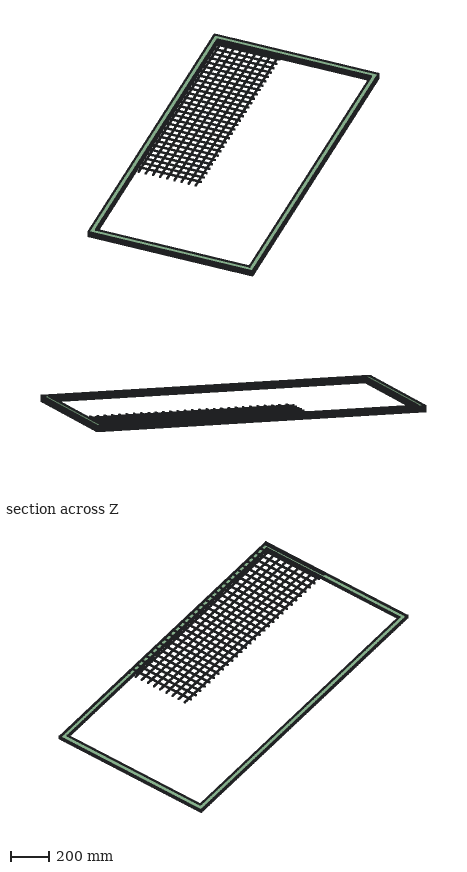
import cadquery as cq

frame_width = 920.0
frame_length = 1806.0
frame_height = 30.0

layer_count = 3
layer_height = frame_height / layer_count
side_member_width = 30.0
end_member_width = 33.0
tube_wall = 1.5

slot_floor = 2.0
slot_back_wall = 3.0

wire_diameter = 4.0
wire_pitch = 40.0
weld_sink = 0.5
mesh_width = 380.0
mesh_length = 1200.0
lengthwise_wire_count = 10
crosswise_wire_count = 30
first_lengthwise_inset = 3.3
first_crosswise_inset = 6.3

opening_width = frame_width - 2 * side_member_width
opening_length = frame_length - 2 * end_member_width
slot_width = frame_width - 2 * slot_back_wall
slot_length = frame_length - 2 * slot_back_wall
wire_radius = wire_diameter / 2
mesh_left = -slot_width / 2
mesh_back = slot_length / 2
lengthwise_wire_z = slot_floor + wire_radius
crosswise_wire_z = lengthwise_wire_z + wire_diameter - weld_sink


def centered_block(width, length, bottom, top):
    """Block centered on the Z axis between two heights."""
    block = cq.Workplane("XY").workplane(offset=bottom).rect(width, length)
    return block.extrude(top - bottom)


def tube_cavity(layer):
    """Closed hollow running around the frame inside one layer."""
    bottom = layer * layer_height + tube_wall
    top = (layer + 1) * layer_height - tube_wall
    outer = centered_block(frame_width - 2 * tube_wall, frame_length - 2 * tube_wall, bottom, top)
    inner = centered_block(opening_width + 2 * tube_wall, opening_length + 2 * tube_wall, bottom, top)
    return outer.cut(inner)


def make_frame():
    """Rectangular frame with two hollow layers above an inward-facing mesh slot."""
    frame = centered_block(frame_width, frame_length, 0, frame_height)
    frame = frame.cut(centered_block(opening_width, opening_length, 0, frame_height))
    for layer in range(1, layer_count):
        frame = frame.cut(tube_cavity(layer))
    return frame.cut(centered_block(slot_width, slot_length, slot_floor, layer_height))


def make_wire(start, direction, length):
    """Straight round wire."""
    return cq.Solid.makeCylinder(wire_radius, length, cq.Vector(*start), cq.Vector(*direction))


def make_mesh():
    """Lengthwise wires with crosswise wires welded on top, as one solid."""
    wires = []
    for i in range(lengthwise_wire_count):
        x = mesh_left + first_lengthwise_inset + i * wire_pitch
        wires.append(make_wire((x, mesh_back, lengthwise_wire_z), (0, -1, 0), mesh_length))
    for i in range(crosswise_wire_count):
        y = mesh_back - first_crosswise_inset - i * wire_pitch
        wires.append(make_wire((mesh_left, y, crosswise_wire_z), (1, 0, 0), mesh_width))
    return cq.Workplane("XY").newObject(wires[0].fuse(*wires[1:]).Solids())


frame = make_frame()
mesh = make_mesh()

result = cq.Compound.makeCompound([frame.val().Solids()[0], mesh.val()])